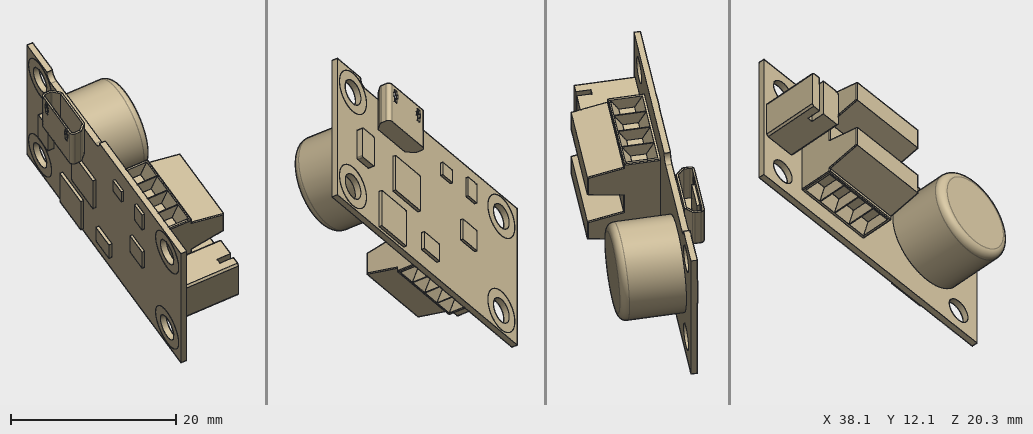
import cadquery as cq

BOARD_WIDTH = 38.1
BOARD_HEIGHT = 20.32
BOARD_THICKNESS = 0.8
TOTAL_DEPTH = 12.14
MID_HEIGHT = BOARD_HEIGHT / 2

HOLE_DIAMETER = 3.3
HOLE_SPACING_X = 31.4
HOLE_SPACING_Z = 14.0
HOLE_CENTER_X = 19.0
PAD_DIAMETER = 5.7
PAD_THICKNESS = 0.02

NOTCH_LEFT = 4.95
NOTCH_RIGHT = 17.95
NOTCH_DEPTH = 1.07
NOTCH_RADIUS = 1.0

CAN_DIAMETER = 12.05
CAN_HEIGHT = 8.0
CAN_CENTER_X = 9.03
CAN_EDGE_RADIUS = 1.0

BLOCK_BACK = 9.8
BLOCK_WIDTH = 11.05
BLOCK_CENTER_X = 25.77
BLOCK_CENTER_Z = 9.65
BLOCK_HALF_HEIGHT = 7.03
SHOULDER_Y = 5.35
SHOULDER_WIDTH = 0.57
SLOPE_RUN = 0.93
GAP_HALF_HEIGHT = 2.4
BLOCK_CHAMFER = 0.12

ENTRY_COUNT = 4
ENTRY_PITCH = 2.6
ENTRY_WIDTH = 2.5
ENTRY_HEIGHT = 3.96
ENTRY_FLOOR_SIZE = 1.95
ENTRY_DEPTH = 1.5
ENTRY_CENTER_Y = 3.07

CONNECTOR_LEFT = 32.94
CONNECTOR_WIDTH = 4.65
CONNECTOR_LENGTH_Z = 5.8
CONNECTOR_BACK = 8.29
CONNECTOR_EDGE_CHAMFER = 0.26
CONNECTOR_SLOT_LEFT = 35.6
CONNECTOR_SLOT_WIDTH = 0.7
CONNECTOR_SLOT_DEPTH = 1.87

USB_CENTER_X = 11.45
USB_WIDTH = 7.5
USB_LENGTH = 5.55
USB_DEPTH = TOTAL_DEPTH - BLOCK_BACK
USB_BEVEL = 0.95
USB_BEVEL_RADIUS = 0.4
USB_FRONT_RADIUS = 0.5
USB_WALL = 0.25
TONGUE_WIDTH = 3.45
TONGUE_THICKNESS = 0.38
TONGUE_SETBACK = 1.0
LATCH_OFFSET = 2.41
LATCH_WIDTH = 0.5
LATCH_BOTTOM = 18.14
LATCH_TOP = 19.86
LATCH_BAR_WIDTH = 0.8
LATCH_BAR_BOTTOM = 18.83
LATCH_BAR_TOP = 19.4

CHIPS = [
    (21.84, 23.94, 15.7, 17.55, 0.33),
    (27.2, 29.05, 15.7, 18.5, 0.33),
    (26.08, 29.08, 8.6, 11.6, 0.33),
    (11.74, 17.04, 7.45, 12.6, 0.4),
    (17.8, 21.05, 2.3, 4.8, 0.43),
    (8.86, 14.04, 0.45, 5.7, 0.4),
]
THICK_CHIP = (4.16, 6.7, 7.78, 12.15, 0.8)
THICK_CHIP_RADIUS = 0.2


def box_between(left, right, front, back, bottom, top):
    """Box given by its limits along X, Y and Z."""
    size = (right - left, back - front, top - bottom)
    return cq.Workplane("XY").box(*size, centered=False).translate((left, front, bottom))


def front_chip(left, right, bottom, top, thickness):
    return box_between(left, right, -thickness, 0, bottom, top)


def corner_discs(diameter, front, back):
    """Discs centred on the four mounting holes, from Y = front to Y = back."""
    return (
        cq.Workplane("XZ", origin=(HOLE_CENTER_X, front, MID_HEIGHT))
        .rarray(HOLE_SPACING_X, HOLE_SPACING_Z, 2, 2)
        .circle(diameter / 2)
        .extrude(front - back)
    )


def make_board():
    board = box_between(0, BOARD_WIDTH, 0, BOARD_THICKNESS, 0, BOARD_HEIGHT)
    notch_floor = BOARD_HEIGHT - NOTCH_DEPTH
    notch = box_between(NOTCH_LEFT, NOTCH_RIGHT, 0, BOARD_THICKNESS, notch_floor, BOARD_HEIGHT)
    notch = notch.edges("|Y and <Z").fillet(NOTCH_RADIUS)
    pads = corner_discs(PAD_DIAMETER, -PAD_THICKNESS, 0)
    holes = corner_discs(HOLE_DIAMETER, -PAD_THICKNESS, BOARD_THICKNESS)
    return board.cut(notch).union(pads).cut(holes)


def make_can():
    can = (
        cq.Workplane("XZ", origin=(CAN_CENTER_X, BOARD_THICKNESS, MID_HEIGHT))
        .circle(CAN_DIAMETER / 2)
        .extrude(-CAN_HEIGHT)
    )
    return can.faces(">Y").edges().fillet(CAN_EDGE_RADIUS)


def make_wire_entry(x):
    """Funnel cut into the upper side of the terminal block."""
    mouth_z = BLOCK_CENTER_Z + BLOCK_HALF_HEIGHT
    return (
        cq.Workplane("XY", origin=(x, ENTRY_CENTER_Y, mouth_z))
        .rect(ENTRY_WIDTH, ENTRY_HEIGHT)
        .workplane(offset=-ENTRY_DEPTH)
        .rect(ENTRY_FLOOR_SIZE, ENTRY_FLOOR_SIZE)
        .loft(ruled=True)
    )


def make_terminal_block():
    slope_base = BLOCK_HALF_HEIGHT - SHOULDER_WIDTH
    upper_half = [
        (SHOULDER_Y, GAP_HALF_HEIGHT - SLOPE_RUN),
        (BLOCK_BACK, GAP_HALF_HEIGHT),
        (BLOCK_BACK, slope_base - SLOPE_RUN),
        (SHOULDER_Y, slope_base),
        (SHOULDER_Y, BLOCK_HALF_HEIGHT),
        (BOARD_THICKNESS, BLOCK_HALF_HEIGHT),
    ]
    lower_half = [(y, -z) for y, z in reversed(upper_half)]
    block = (
        cq.Workplane("YZ", origin=(BLOCK_CENTER_X, 0, BLOCK_CENTER_Z))
        .polyline(upper_half + lower_half)
        .close()
        .extrude(BLOCK_WIDTH / 2, both=True)
    )
    block = block.faces("<Z or >Z").edges(">Y").chamfer(BLOCK_CHAMFER)
    block = block.faces("<X or >X").edges("not <Y").chamfer(BLOCK_CHAMFER)
    first_entry_x = BLOCK_CENTER_X - ENTRY_PITCH * (ENTRY_COUNT - 1) / 2
    for index in range(ENTRY_COUNT):
        entry = make_wire_entry(first_entry_x + index * ENTRY_PITCH)
        block = block.cut(entry)
        block = block.cut(entry.mirror("XY", (0, 0, BLOCK_CENTER_Z)))
    return block


def make_connector():
    bottom = MID_HEIGHT - CONNECTOR_LENGTH_Z / 2
    top = MID_HEIGHT + CONNECTOR_LENGTH_Z / 2
    right = CONNECTOR_LEFT + CONNECTOR_WIDTH
    body = box_between(CONNECTOR_LEFT, right, BOARD_THICKNESS, CONNECTOR_BACK, bottom, top)
    body = body.edges("|Y").chamfer(CONNECTOR_EDGE_CHAMFER)
    slot_right = CONNECTOR_SLOT_LEFT + CONNECTOR_SLOT_WIDTH
    slot_floor = CONNECTOR_BACK - CONNECTOR_SLOT_DEPTH
    slot = box_between(CONNECTOR_SLOT_LEFT, slot_right, slot_floor, CONNECTOR_BACK, bottom, top)
    return body.cut(slot)


def make_usb_latch(x):
    """Cross-shaped window through the front wall of the socket."""
    front = -USB_DEPTH
    back = front + USB_WALL
    window_half = LATCH_WIDTH / 2
    bar_half = LATCH_BAR_WIDTH / 2
    window = box_between(x - window_half, x + window_half, front, back, LATCH_BOTTOM, LATCH_TOP)
    bar = box_between(x - bar_half, x + bar_half, front, back, LATCH_BAR_BOTTOM, LATCH_BAR_TOP)
    return window.union(bar)


def make_usb_socket():
    half_width = USB_WIDTH / 2
    shell = (
        cq.Workplane("XY", origin=(USB_CENTER_X, 0, BOARD_HEIGHT))
        .moveTo(-half_width + USB_BEVEL, 0)
        .lineTo(half_width - USB_BEVEL, 0)
        .lineTo(half_width, -USB_BEVEL)
        .lineTo(half_width, -USB_DEPTH)
        .lineTo(-half_width, -USB_DEPTH)
        .lineTo(-half_width, -USB_BEVEL)
        .close()
        .extrude(-USB_LENGTH)
    )
    shell = shell.edges("|Z and <Y").fillet(USB_FRONT_RADIUS)
    shell = shell.edges("|Z").edges("<X or >X").edges(">Y").fillet(USB_BEVEL_RADIUS)
    socket = shell.faces(">Z").shell(-USB_WALL)
    tongue = box_between(
        USB_CENTER_X - TONGUE_WIDTH / 2,
        USB_CENTER_X + TONGUE_WIDTH / 2,
        -USB_DEPTH + USB_WALL,
        -USB_DEPTH + USB_WALL + TONGUE_THICKNESS,
        BOARD_HEIGHT - USB_LENGTH + USB_WALL,
        BOARD_HEIGHT - TONGUE_SETBACK,
    )
    socket = socket.union(tongue)
    for side in (-1, 1):
        socket = socket.cut(make_usb_latch(USB_CENTER_X + side * LATCH_OFFSET))
    return socket


def make_chips():
    chips = front_chip(*THICK_CHIP).edges("|Y").fillet(THICK_CHIP_RADIUS)
    for chip in CHIPS:
        chips = chips.union(front_chip(*chip))
    return chips


result = (
    make_board()
    .union(make_can())
    .union(make_terminal_block())
    .union(make_connector())
    .union(make_usb_socket())
    .union(make_chips())
)